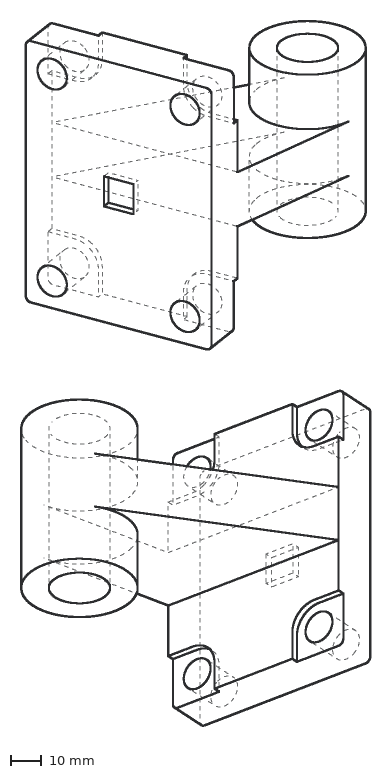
import cadquery as cq
import math

plate_width = 70.0
plate_height = 96.0
plate_thickness = 17.0
plate_corner_radius = 2.0

hole_diameter = 11.0
hole_inset = 10.0
relief_radius = 9.0
relief_depth = 2.5

recess_side = 11.0
recess_depth = 3.0

overall_width = 84.0
overall_depth = 90.0
boss_diameter = 38.0
boss_length = 60.0
bore_diameter = 20.0
web_thickness = 20.0

boss_radius = boss_diameter / 2
boss_x = overall_width - boss_radius
boss_y = overall_depth - boss_radius
middle_z = plate_height / 2


def tangent_point(corner, side):
    """Point where a line from corner touches the boss; side is +1 or -1 for which flank."""
    dx = corner[0] - boss_x
    dy = corner[1] - boss_y
    angle = math.atan2(dy, dx) + side * math.acos(boss_radius / math.hypot(dx, dy))
    return (boss_x + boss_radius * math.cos(angle), boss_y + boss_radius * math.sin(angle))


def box_between(low, high):
    """Axis-aligned box between two opposite corners."""
    size = [b - a for a, b in zip(low, high)]
    return cq.Workplane("XY").box(*size, centered=False).translate(low)


def cylinder_along_y(x, z, radius, start_y, length):
    """Cylinder of the given length running from start_y toward +Y."""
    return cq.Workplane(cq.Solid.makeCylinder(radius, length, cq.Vector(x, start_y, z), cq.Vector(0, 1, 0)))


def make_plate():
    plate = box_between((0, 0, 0), (plate_width, plate_thickness, plate_height))
    plate = plate.edges("|Y").fillet(plate_corner_radius)
    recess_x = (plate_width - recess_side) / 2
    recess_z = (plate_height - recess_side) / 2
    recess = box_between(
        (recess_x, 0, recess_z),
        (recess_x + recess_side, recess_depth, recess_z + recess_side),
    )
    return plate.cut(recess)


def make_corner_relief(edge_x, edge_z, hole_x, hole_z):
    """Corner step on the plate's back face, rounded around the fixing hole."""
    reach_x = math.copysign(hole_inset + relief_radius, hole_x - edge_x)
    reach_z = math.copysign(hole_inset + relief_radius, hole_z - edge_z)
    low_x, high_x = sorted((edge_x, edge_x + reach_x))
    low_z, high_z = sorted((edge_z, edge_z + reach_z))
    relief_y = plate_thickness - relief_depth
    step = box_between((low_x, relief_y, low_z), (high_x, plate_thickness, high_z))
    inner_edge = cq.selectors.NearestToPointSelector((edge_x + reach_x, plate_thickness, edge_z + reach_z))
    return step.edges("|Y").edges(inner_edge).fillet(relief_radius)


def make_web():
    left_corner = (0, plate_thickness)
    right_corner = (plate_width, plate_thickness)
    return (
        cq.Workplane("XY", origin=(0, 0, middle_z - web_thickness / 2))
        .moveTo(*left_corner)
        .lineTo(*right_corner)
        .lineTo(*tangent_point(right_corner, 1))
        .lineTo(boss_x, boss_y)
        .lineTo(*tangent_point(left_corner, -1))
        .close()
        .extrude(web_thickness)
    )


def make_boss_cylinder(diameter):
    return (
        cq.Workplane("XY", origin=(boss_x, boss_y, middle_z - boss_length / 2))
        .circle(diameter / 2)
        .extrude(boss_length)
    )


base = make_plate()
for edge_x, hole_x in ((0, hole_inset), (plate_width, plate_width - hole_inset)):
    for edge_z, hole_z in ((0, hole_inset), (plate_height, plate_height - hole_inset)):
        base = base.cut(make_corner_relief(edge_x, edge_z, hole_x, hole_z))
        base = base.cut(cylinder_along_y(hole_x, hole_z, hole_diameter / 2, 0, plate_thickness))

result = base.union(make_web()).union(make_boss_cylinder(boss_diameter)).cut(make_boss_cylinder(bore_diameter))